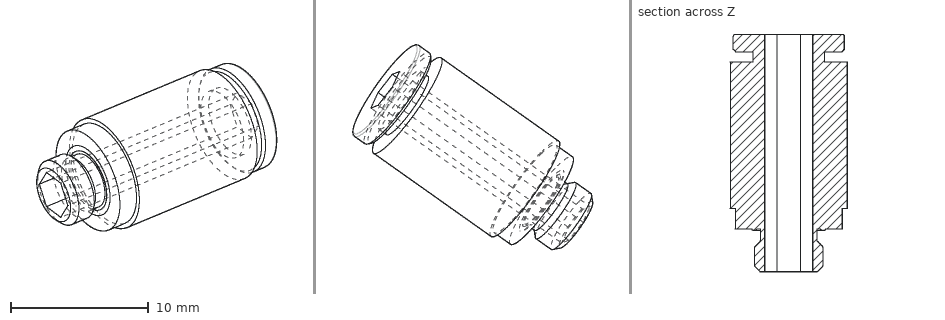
import cadquery as cq
import math


overall_length = 17.25
thread_chamfer = 0.43
thread_length = 2.25
flange_start = 3.1
body_start = 4.6
body_end = 15.25
collar_start = 15.95

thread_radius = 2.5
neck_radius = thread_radius - thread_chamfer
flange_radius = 3.9
body_radius = 4.25
stem_radius = 2.6
collar_radius = 4.05

collar_inner_chamfer = 0.2
collar_outer_fillet = 0.15

ring_section_radius = 0.25
ring_outer_radius = 2.75
ring_projection = 0.1
ring_center_radius = ring_outer_radius - ring_section_radius
ring_center = flange_start - ring_projection + ring_section_radius

hex_sides = 6
hex_across_flats = 3.0


def cylinder(radius, start, end):
    """Cylinder on the Y axis between two stations."""
    plane = cq.Plane(origin=(0, start, 0), xDir=(1, 0, 0), normal=(0, 1, 0))
    return cq.Workplane(plane).circle(radius).extrude(end - start)


def make_tip():
    """Threaded tip, modelled plain with both ends chamfered, on a neck running into the body."""
    thread = cylinder(thread_radius, 0, thread_length).faces("<Y or >Y").chamfer(thread_chamfer)
    neck = cylinder(neck_radius, 0, body_start)
    return thread.union(neck)


def make_body():
    """Main sleeve with the smaller flange at its threaded end."""
    flange = cylinder(flange_radius, flange_start, body_start)
    sleeve = cylinder(body_radius, body_start, body_end)
    return flange.union(sleeve)


def make_collar():
    """Release collar on its stem."""
    stem = cylinder(stem_radius, body_end, collar_start)
    collar = cylinder(collar_radius, collar_start, overall_length)
    collar = collar.faces("<Y").chamfer(collar_inner_chamfer)
    collar = collar.faces(">Y").edges().fillet(collar_outer_fillet)
    return stem.union(collar)


def make_ring():
    """Sealing ring around the neck."""
    ring = cq.Solid.makeTorus(
        ring_center_radius, ring_section_radius, cq.Vector(0, ring_center, 0), cq.Vector(0, 1, 0)
    )
    return cq.Workplane(obj=ring)


def make_hex_bore():
    """Hexagonal bore along the whole part, two corners on the X direction."""
    across_corners = hex_across_flats / math.cos(math.pi / hex_sides)
    plane = cq.Plane(origin=(0, 0, 0), xDir=(1, 0, 0), normal=(0, 1, 0))
    return cq.Workplane(plane).polygon(hex_sides, across_corners).extrude(overall_length)


result = make_body().union(make_tip()).union(make_collar()).union(make_ring()).cut(make_hex_bore())